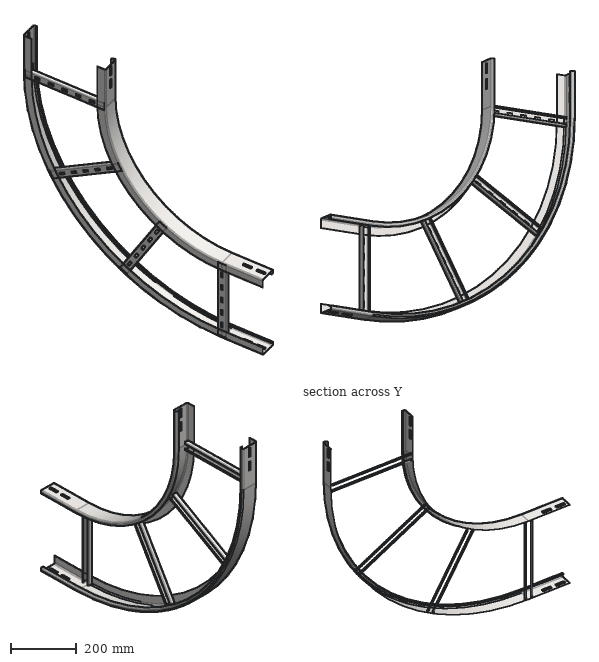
import cadquery as cq
import math

overall_size = 870.0
leg_length = 150.0
tray_width = 299.0
tray_depth = 60.0
sheet_thickness = 1.5
bend_radius = 4.0
bend_centre = overall_size - leg_length

front_flange = 30.5
back_flange = 14.0
lip_depth = 10.5

rail_slot_count = 2
rail_slot_length = 30.5
rail_slot_width = 8.0
rail_slot_end_distance = 25.0
slot_pitch = 50.0

rung_count = 4
rung_end_gap = 6.0
rung_width = 30.5
rung_depth = 16.5
rung_lip = 7.0
rung_bend_radius = 2.4
rung_slot_count = 5
rung_slot_length = 18.0
rung_slot_width = 7.0


def rounded_outline(workplane, corners):
    """Closed outline through square corners given as (x, y, radius); the first corner must be sharp."""
    outline = workplane.moveTo(*corners[0][:2])
    previous_x, previous_y, _ = corners[0]
    for index, (x, y, radius) in enumerate(corners[1:], start=1):
        if radius == 0:
            outline = outline.lineTo(x, y)
        else:
            next_x, next_y, _ = corners[(index + 1) % len(corners)]
            into = math.dist((previous_x, previous_y), (x, y))
            out = math.dist((x, y), (next_x, next_y))
            arc_start = (x - (x - previous_x) / into * radius, y - (y - previous_y) / into * radius)
            arc_end = (x + (next_x - x) / out * radius, y + (next_y - y) / out * radius)
            outline = outline.lineTo(*arc_start).tangentArcPoint(arc_end, relative=False)
        previous_x, previous_y = x, y
    return outline.close()


def rail_section(web_x, inward):
    """Lipped channel whose web lies on web_x; inward is the X sign pointing into the tray."""
    web_inside = web_x + inward * sheet_thickness
    flange_tip = web_x + inward * front_flange
    lip_outside = web_x + inward * back_flange
    lip_inside = lip_outside - inward * sheet_thickness
    back_inside = tray_depth - sheet_thickness
    lip_end = tray_depth - lip_depth
    inner_bend_radius = bend_radius - sheet_thickness
    corners = [
        (flange_tip, 0, 0),
        (flange_tip, sheet_thickness, 0),
        (web_inside, sheet_thickness, inner_bend_radius),
        (web_inside, back_inside, inner_bend_radius),
        (lip_inside, back_inside, inner_bend_radius),
        (lip_inside, lip_end, 0),
        (lip_outside, lip_end, 0),
        (lip_outside, tray_depth, bend_radius),
        (web_x, tray_depth, bend_radius),
        (web_x, 0, bend_radius),
    ]
    return rounded_outline(cq.Workplane("XY", origin=(0, 0, overall_size)), corners)


def rail_path(offset):
    """Straight, quarter circle, straight, at a distance offset from the outer corner of the tray."""
    arc_radius = bend_centre - offset
    arc_middle = bend_centre - arc_radius * math.cos(math.pi / 4)
    plane = cq.Workplane(cq.Plane(origin=(0, 0, 0), xDir=(1, 0, 0), normal=(0, -1, 0)))
    return (
        plane.moveTo(offset, overall_size)
        .lineTo(offset, bend_centre)
        .threePointArc((arc_middle, arc_middle), (bend_centre, offset))
        .lineTo(overall_size, offset)
    )


def make_rail(offset, inward):
    """Channel swept along its path, slotted near both ends."""
    rail = rail_section(offset, inward).sweep(rail_path(offset), clean=False)
    cutter_depth = 2 * bend_radius
    for index in range(rail_slot_count):
        along = overall_size - rail_slot_end_distance - index * slot_pitch
        upright_slot = cq.Workplane("XY").box(cutter_depth, rail_slot_width, rail_slot_length)
        level_slot = cq.Workplane("XY").box(rail_slot_length, rail_slot_width, cutter_depth)
        rail = rail.cut(upright_slot.translate((offset, tray_depth / 2, along)), clean=False)
        rail = rail.cut(level_slot.translate((along, tray_depth / 2, offset)), clean=False)
    return rail


def make_rung(angle):
    """Slotted lipped channel behind the front flanges, open to the back, turned about the bend centre."""
    length = tray_width - 2 * rung_end_gap
    half_width = rung_width / 2
    inside_half = half_width - sheet_thickness
    web_front = sheet_thickness
    web_back = 2 * sheet_thickness
    flange_back = web_front + rung_depth
    flange_inside = flange_back - sheet_thickness
    lip_tip = half_width - rung_lip
    inner_bend_radius = rung_bend_radius - sheet_thickness
    corners = [
        (flange_inside, -lip_tip, 0),
        (flange_back, -lip_tip, 0),
        (flange_back, -half_width, rung_bend_radius),
        (web_front, -half_width, rung_bend_radius),
        (web_front, half_width, rung_bend_radius),
        (flange_back, half_width, rung_bend_radius),
        (flange_back, lip_tip, 0),
        (flange_inside, lip_tip, 0),
        (flange_inside, inside_half, inner_bend_radius),
        (web_back, inside_half, inner_bend_radius),
        (web_back, -inside_half, inner_bend_radius),
        (flange_inside, -inside_half, inner_bend_radius),
    ]
    section_plane = cq.Workplane("YZ", origin=(rung_end_gap, 0, bend_centre))
    rung = rounded_outline(section_plane, corners).extrude(length)
    slots = (
        cq.Workplane("XZ", origin=(tray_width / 2, 0, bend_centre))
        .rarray(slot_pitch, 9, rung_slot_count, 1)
        .rect(rung_slot_length, rung_slot_width)
        .extrude(-flange_back)
    )
    axis_start = (bend_centre, 0, bend_centre)
    axis_end = (bend_centre, 1, bend_centre)
    return rung.cut(slots).rotate(axis_start, axis_end, -angle)


outer_rail = make_rail(0, 1)
inner_rail = make_rail(tray_width, -1)
rungs = [make_rung(90 * index / (rung_count - 1)) for index in range(rung_count)]

result = cq.Compound.makeCompound(
    [outer_rail.val(), inner_rail.val(), *[rung.val() for rung in rungs]]
)